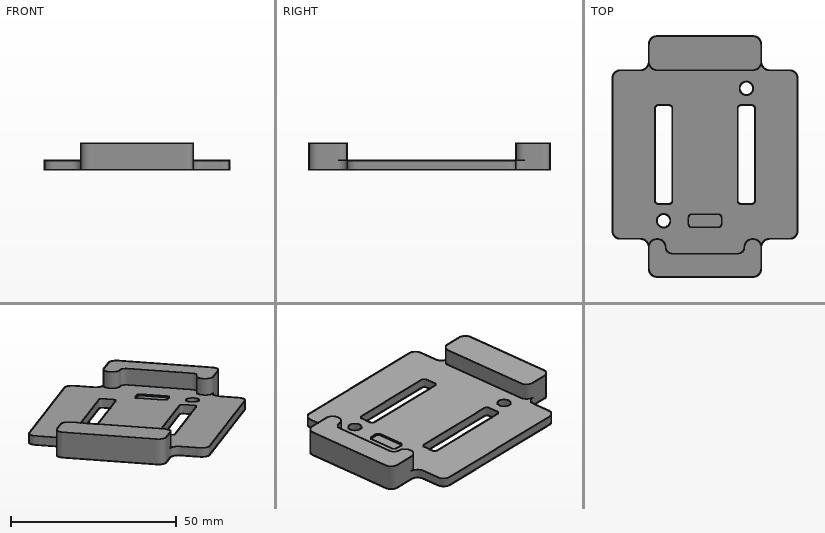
import cadquery as cq

plate_width = 56.0
plate_length = 51.0
plate_thickness = 2.9
total_length = 72.81
total_height = 8.1
corner_radius = 2.5

block_width = 34.0
rear_block_depth = 10.31
front_block_depth = total_length - plate_length - rear_block_depth
lobe_width = 5.1
notch_depth = 4.4
notch_radius = notch_depth - corner_radius

slot_width = 5.2
slot_length = 29.8
slot_corner_radius = 1.0
feature_offset_x = 12.5
hole_offset_y = 20.0
hole_diameter = 4.0
recess_width = 10.0
recess_length = 4.0
recess_corner_radius = 1.0
recess_depth = 0.5

plate_edge_y = plate_length / 2
block_half_width = block_width / 2


def rounded_box(width, length, height, radius, center_x=0.0, center_y=0.0, base_z=0.0):
    """Upright box with rounded vertical edges, standing on base_z."""
    box = cq.Workplane("XY").box(width, length, height, centered=(True, True, False))
    return box.edges("|Z").fillet(radius).translate((center_x, center_y, base_z))


def junction_fillet(side_x, side_y):
    """Concave web that blends the plate end into a block side."""
    tangent_x = side_x * (block_half_width + corner_radius)
    tangent_y = side_y * (plate_edge_y + corner_radius)
    inner_x = side_x * (block_half_width - corner_radius)
    inner_y = side_y * (plate_edge_y - corner_radius)
    web = (
        cq.Workplane("XY")
        .moveTo(inner_x, inner_y)
        .lineTo(tangent_x, inner_y)
        .lineTo(tangent_x, side_y * plate_edge_y)
        .radiusArc((side_x * block_half_width, tangent_y), side_x * side_y * corner_radius)
        .lineTo(inner_x, tangent_y)
        .close()
        .extrude(plate_thickness)
    )
    return web


def make_rear_block():
    center_y = plate_edge_y + rear_block_depth / 2
    return rounded_box(block_width, rear_block_depth, total_height, corner_radius, center_y=center_y)


def make_front_block():
    """Block whose inner face is notched between two rounded lobes."""
    center_y = -plate_edge_y - front_block_depth / 2
    block = rounded_box(block_width, front_block_depth, total_height, corner_radius, center_y=center_y)

    notch_half_width = block_half_width - lobe_width
    floor_y = -plate_edge_y - notch_depth
    lobe_y = -plate_edge_y - corner_radius
    notch = (
        cq.Workplane("XY")
        .workplane(offset=plate_thickness)
        .moveTo(-notch_half_width - corner_radius, -plate_edge_y)
        .radiusArc((-notch_half_width, lobe_y), corner_radius)
        .radiusArc((-notch_half_width + notch_radius, floor_y), -notch_radius)
        .lineTo(notch_half_width - notch_radius, floor_y)
        .radiusArc((notch_half_width, lobe_y), -notch_radius)
        .radiusArc((notch_half_width + corner_radius, -plate_edge_y), corner_radius)
        .close()
        .extrude(total_height - plate_thickness)
    )
    return block.cut(notch)


def cut_openings(body):
    """Cut the strap slots, the diagonal pair of screw holes and the recess."""
    for side in (-1, 1):
        slot = rounded_box(
            slot_width, slot_length, plate_thickness, slot_corner_radius, center_x=side * feature_offset_x
        )
        hole = (
            cq.Workplane("XY")
            .center(side * feature_offset_x, side * hole_offset_y)
            .circle(hole_diameter / 2)
            .extrude(plate_thickness)
        )
        body = body.cut(slot).cut(hole)

    recess = rounded_box(
        recess_width,
        recess_length,
        recess_depth,
        recess_corner_radius,
        center_y=-hole_offset_y,
        base_z=plate_thickness - recess_depth,
    )
    return body.cut(recess)


body = rounded_box(plate_width, plate_length, plate_thickness, corner_radius)
body = body.union(make_rear_block()).union(make_front_block())
for side_x in (-1, 1):
    for side_y in (-1, 1):
        body = body.union(junction_fillet(side_x, side_y))

result = cut_openings(body)